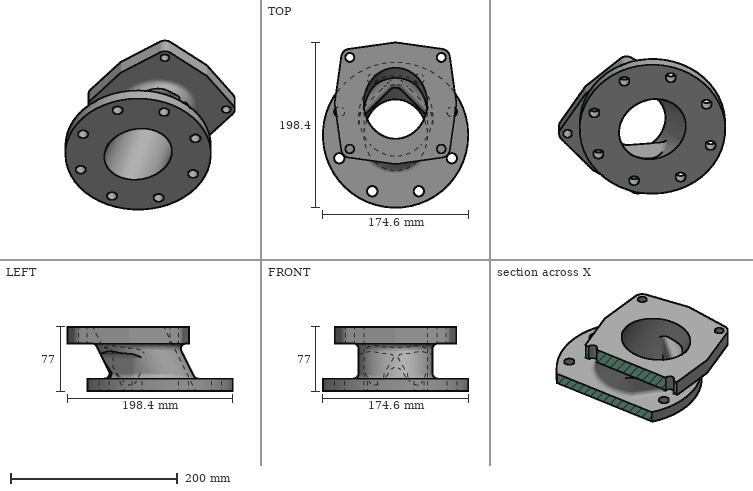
import cadquery as cq
import math

flange_radius = 87.3
flange_thickness = 15.0
flange_hole_count = 8
flange_hole_circle_radius = 73.0
flange_hole_diameter = 12.1

plate_offset = 38.1
plate_half_width = 73.0
plate_thickness = 20.0
plate_side_angle = 8.0
plate_corner_radius = 10.5
plate_hole_spacing = 109.7
plate_hole_diameter = 10.5

total_height = 77.0
bore_radius = 38.1
wall = 6.4
neck_radius = bore_radius + wall
neck_fillet = 6.0

flat_distance = 51.0
flat_height = 30.0
flat_wall = 8.0
flat_end_radius = 20.8
flat_end_clearance = 0.2
step_radius = 6.0
neck_rim_radius = 10.0
bore_rim_radius = 17.9
neck_ridge_radius = 1.0
bore_ridge_radius = 10.0

plate_bottom = total_height - plate_thickness
flat_top = flange_thickness + flat_height
neck_tilt = math.degrees(math.atan2(plate_offset, total_height))
far = 2 * flange_radius
neck_reach = neck_radius + 2 * neck_fillet
edge_tolerance = 0.02
cos45 = math.sqrt(0.5)


def make_flange():
    return cq.Workplane("XY").circle(flange_radius).extrude(flange_thickness)


def make_plate():
    corner = plate_half_width / (1 + math.tan(math.radians(plate_side_angle)))
    outline = [
        (plate_half_width, 0),
        (corner, corner),
        (0, plate_half_width),
        (-corner, corner),
        (-plate_half_width, 0),
        (-corner, -corner),
        (0, -plate_half_width),
        (corner, -corner),
    ]
    plate = cq.Workplane("XY").polyline(outline).close().extrude(plate_thickness)
    for corner_point in outline[1::2]:
        nearest = cq.selectors.NearestToPointSelector((*corner_point, plate_thickness / 2))
        plate = plate.edges(nearest).fillet(plate_corner_radius)
    return plate.translate((0, plate_offset, plate_bottom))


def slanted_cylinder(radius, bottom, top):
    """Cylinder leaning towards +Y, trimmed level at the heights bottom and top."""
    slab = cq.Workplane("XY").workplane(offset=bottom).rect(2 * far, 2 * far).extrude(top - bottom)
    rod = cq.Workplane("XY").workplane(offset=-far).circle(radius).extrude(total_height + 2 * far)
    return rod.rotate((0, 0, 0), (1, 0, 0), -neck_tilt).intersect(slab)


def flat_cutter(radius, distance, top, end_radius, rim_radius, ridge_radius, foot_height):
    """Solid outside the two flats of a slanted cylinder of this radius.

    A profile with a rounded foot, a vertical flat, a rounded step and a rounded rim is
    swept along both flats and round the ridge between them. Each flat curves round to -Y
    at its outer end, where it leaves the cylinder.
    """
    rim_top = top + rim_radius
    outer_reach = step_radius + rim_radius + neck_radius
    ridge_y = distance / cos45
    end_x = radius + flat_end_clearance
    bend_x = end_x - end_radius * (1 - cos45)
    bend_y = ridge_y - bend_x
    end_y = bend_y - end_radius * cos45
    ridge_x = ridge_radius * cos45

    path = (
        cq.Workplane("XY")
        .moveTo(end_x, end_y)
        .radiusArc((bend_x, bend_y), -end_radius)
        .lineTo(ridge_x, ridge_y - ridge_x)
        .radiusArc((-ridge_x, ridge_y - ridge_x), -ridge_radius)
        .lineTo(-bend_x, bend_y)
        .radiusArc((-end_x, end_y), -end_radius)
    )
    profile = (
        cq.Workplane("XZ", origin=(end_x, end_y, 0))
        .moveTo(neck_fillet, foot_height)
        .radiusArc((0, foot_height + neck_fillet), neck_fillet)
        .lineTo(0, top - step_radius)
        .radiusArc((step_radius, top), step_radius)
        .radiusArc((step_radius + rim_radius, rim_top), -rim_radius)
        .lineTo(outer_reach, rim_top)
        .lineTo(outer_reach, foot_height)
        .close()
    )
    return profile.sweep(path)


def make_neck_cutter():
    return flat_cutter(
        radius=neck_radius,
        distance=flat_distance,
        top=flat_top,
        end_radius=flat_end_radius,
        rim_radius=neck_rim_radius,
        ridge_radius=neck_ridge_radius,
        foot_height=flange_thickness,
    )


def make_cavity():
    cutter = flat_cutter(
        radius=bore_radius,
        distance=flat_distance - flat_wall,
        top=flat_top + wall,
        end_radius=flat_end_radius - wall,
        rim_radius=bore_rim_radius,
        ridge_radius=bore_ridge_radius,
        foot_height=0,
    )
    return slanted_cylinder(bore_radius, 0, total_height).cut(cutter)


def fillet_neck_end(body, height):
    """Fillet the edge where the round neck meets a level face at this height."""
    axis_y = plate_offset * height / total_height
    box = cq.selectors.BoxSelector(
        (-neck_reach, axis_y - neck_reach, height - edge_tolerance),
        (neck_reach, axis_y + neck_reach, height + edge_tolerance),
        boundingbox=True,
    )
    return body.edges(box).fillet(neck_fillet)


def drill_flange(body):
    holes = (
        cq.Workplane("XY")
        .polarArray(flange_hole_circle_radius, 180 / flange_hole_count, 360, flange_hole_count)
        .circle(flange_hole_diameter / 2)
        .extrude(flange_thickness)
    )
    return body.cut(holes)


def drill_plate(body):
    holes = (
        cq.Workplane("XY", origin=(0, plate_offset, plate_bottom))
        .rect(plate_hole_spacing, plate_hole_spacing, forConstruction=True)
        .vertices()
        .circle(plate_hole_diameter / 2)
        .extrude(plate_thickness)
    )
    return body.cut(holes)


neck = slanted_cylinder(neck_radius, flange_thickness / 2, plate_bottom + plate_thickness / 2)
flanged_neck = fillet_neck_end(make_flange().union(neck), flange_thickness).cut(make_neck_cutter())
body = fillet_neck_end(flanged_neck.union(make_plate()), plate_bottom)
result = drill_plate(drill_flange(body)).cut(make_cavity())